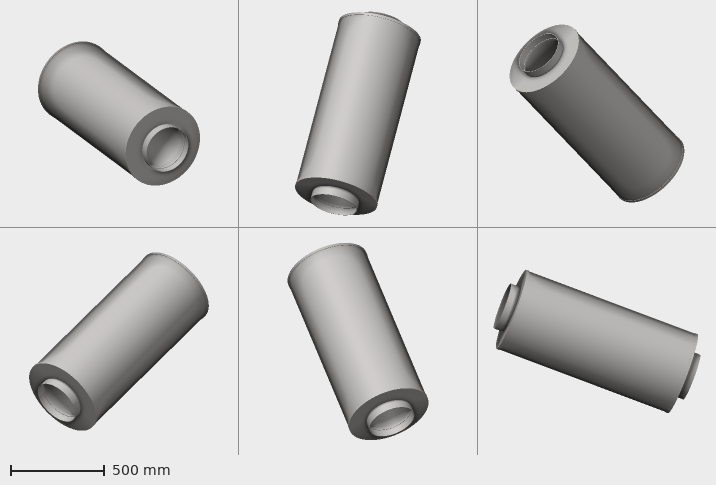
import cadquery as cq

overall_length = 1082.0
spigot_length = 51.0
collar_bore_depth = 40.0
rim_width = 14.0
wall = 2.5

rim_diameter = 450.0
shell_diameter = rim_diameter - 2 * wall
collar_diameter = 255.0
neck_diameter = collar_diameter - 2 * wall
collar_bore = collar_diameter - 2 * wall
neck_bore = neck_diameter - 2 * wall
body_bore = neck_diameter

end_x = overall_length / 2
collar_step_x = end_x - collar_bore_depth
collar_back_x = collar_step_x - wall
body_x = end_x - spigot_length
neck_end_x = body_x - wall
rim_back_x = body_x - rim_width


def cylinder(diameter, length):
    """Cylinder along the X axis, centred on the origin."""
    return cq.Workplane("YZ").circle(diameter / 2).extrude(length / 2, both=True)


def end_cylinder(diameter, start, stop, side):
    """Cylinder along X between two distances from the middle, on the given side."""
    return (
        cq.Workplane("YZ", origin=(side * start, 0, 0))
        .circle(diameter / 2)
        .extrude(side * (stop - start))
    )


def make_outside():
    """Shell with a raised rim, a narrow neck and a wider collar at each end."""
    outside = cylinder(shell_diameter, 2 * body_x)
    outside = outside.union(cylinder(neck_diameter, overall_length))
    for side in (-1, 1):
        outside = outside.union(end_cylinder(rim_diameter, rim_back_x, body_x, side))
        outside = outside.union(end_cylinder(collar_diameter, collar_back_x, end_x, side))
    return outside


def cut_passage(body):
    """Through passage, narrowed at each neck by a short inward step."""
    body = body.cut(cylinder(neck_bore, overall_length))
    body = body.cut(cylinder(body_bore, 2 * neck_end_x))
    for side in (-1, 1):
        body = body.cut(end_cylinder(collar_bore, collar_step_x, end_x, side))
    return body


result = cut_passage(make_outside())